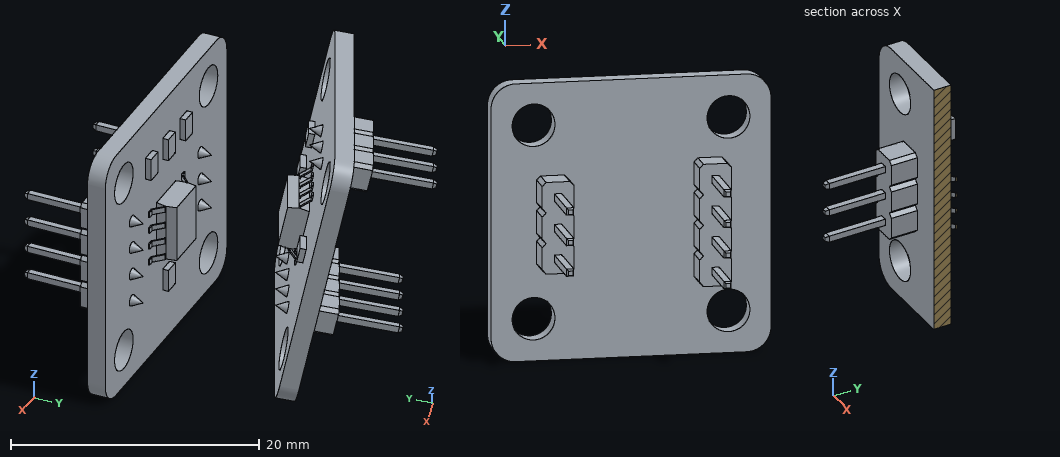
import cadquery as cq
import math


board_side = 23.0
board_thickness = 1.6
board_corner_radius = 2.0
mounting_hole_diameter = 3.5
mounting_hole_offset = 8.0

pin_pitch = 2.53
header_width = 2.6
header_depth = 2.4
header_chamfer = 0.32
header_offset_x = 6.46
left_pin_count = 3
left_header_z = 0.0
right_pin_count = 4
right_header_z = -0.32

pin_reach = 7.9
pin_width = 0.6
pin_tip_width = 0.37
pin_tip_length = 0.32

solder_diameter = 1.0
solder_height = 1.0

sensor_height = 1.8
sensor_end_width = 3.6
sensor_middle_width = 3.95
sensor_length = 5.05

lead_count = 4
lead_pitch = 1.52
lead_width = 0.48
lead_thickness = 0.12
lead_shoulder = 0.14
lead_foot = 0.45

chip_width = 1.29
chip_length = 2.0
chip_height = 0.5
chip_spacing = 3.27
upper_chip_z = 7.02
lower_chip_z = -5.52

board_front_y = -board_thickness / 2
board_back_y = board_thickness / 2
sensor_middle_y = board_back_y + sensor_height / 2


def box_between(width, y_start, y_end, length, x, z):
    """Box centred on (x, z) that fills the Y range from y_start to y_end."""
    block = cq.Workplane("XY").box(width, y_end - y_start, length)
    return block.translate((x, (y_start + y_end) / 2, z))


def centred_row(count, pitch, centre=0.0):
    """Evenly spaced positions around a centre."""
    return [centre + (i - (count - 1) / 2) * pitch for i in range(count)]


def make_board():
    board = box_between(board_side, board_front_y, board_back_y, board_side, 0, 0)
    board = board.edges("|Y").fillet(board_corner_radius)
    spacing = 2 * mounting_hole_offset
    return (
        board.faces("<Y").workplane(centerOption="CenterOfBoundBox")
        .rarray(spacing, spacing, 2, 2).hole(mounting_hole_diameter)
    )


def make_pin(x, z):
    """Square pin with a tapered tip in front and a solder cone behind the board."""
    tip_y = board_front_y - pin_reach
    taper_y = tip_y + pin_tip_length
    shaft = box_between(pin_width, taper_y, board_front_y, pin_width, x, z)
    tip = (
        cq.Workplane("XZ", origin=(x, taper_y, z)).rect(pin_width, pin_width)
        .workplane(offset=pin_tip_length).rect(pin_tip_width, pin_tip_width)
        .loft(ruled=True)
    )
    cone = cq.Workplane(cq.Solid.makeCone(
        solder_diameter / 2, 0, solder_height,
        pnt=cq.Vector(x, board_back_y, z), dir=cq.Vector(0, 1, 0),
    ))
    return shaft.union(tip).union(cone)


def make_header(pin_count, x, z_centre):
    """Row of chamfered header cells, each with its own pin."""
    header = cq.Workplane("XY")
    for z in centred_row(pin_count, pin_pitch, z_centre):
        cell = box_between(header_width, board_front_y - header_depth, board_front_y, pin_pitch, x, z)
        header = header.union(cell.edges("|Y").chamfer(header_chamfer)).union(make_pin(x, z))
    return header


def make_sensor_body():
    """Housing that is widest at mid-height."""
    half_end = sensor_end_width / 2
    half_middle = sensor_middle_width / 2
    sensor_top_y = board_back_y + sensor_height
    outline = [
        (-half_end, board_back_y),
        (half_end, board_back_y),
        (half_middle, sensor_middle_y),
        (half_end, sensor_top_y),
        (-half_end, sensor_top_y),
        (-half_middle, sensor_middle_y),
    ]
    return cq.Workplane("XY").polyline(outline).close().extrude(sensor_length / 2, both=True)


def make_lead(side, z):
    """Bent strip: a short shoulder, a 45 degree drop and a flat foot on the board."""
    inner_x = sensor_end_width / 2
    top_bend_x = sensor_middle_width / 2 + lead_shoulder
    foot_top_y = board_back_y + lead_thickness
    shoulder_bottom_y = sensor_middle_y - lead_thickness
    foot_bend_x = top_bend_x + sensor_middle_y - foot_top_y
    foot_end_x = foot_bend_x + lead_foot
    bend_shift = lead_thickness * math.tan(math.radians(45) / 2)
    outline = [
        (inner_x, sensor_middle_y),
        (top_bend_x, sensor_middle_y),
        (foot_bend_x, foot_top_y),
        (foot_end_x, foot_top_y),
        (foot_end_x, board_back_y),
        (foot_bend_x - bend_shift, board_back_y),
        (top_bend_x - bend_shift, shoulder_bottom_y),
        (inner_x, shoulder_bottom_y),
    ]
    mirrored = [(side * x, y) for x, y in outline]
    strip = cq.Workplane("XY").polyline(mirrored).close().extrude(lead_width / 2, both=True)
    return strip.translate((0, 0, z))


def make_chip(x, z):
    return box_between(chip_width, board_back_y, board_back_y + chip_height, chip_length, x, z)


result = make_board()
result = result.union(make_header(left_pin_count, -header_offset_x, left_header_z))
result = result.union(make_header(right_pin_count, header_offset_x, right_header_z))

result = result.union(make_sensor_body())
for lead_z in centred_row(lead_count, lead_pitch):
    for lead_side in (-1, 1):
        result = result.union(make_lead(lead_side, lead_z))

for chip_x in (-chip_spacing, 0, chip_spacing):
    result = result.union(make_chip(chip_x, upper_chip_z))
result = result.union(make_chip(0, lower_chip_z))